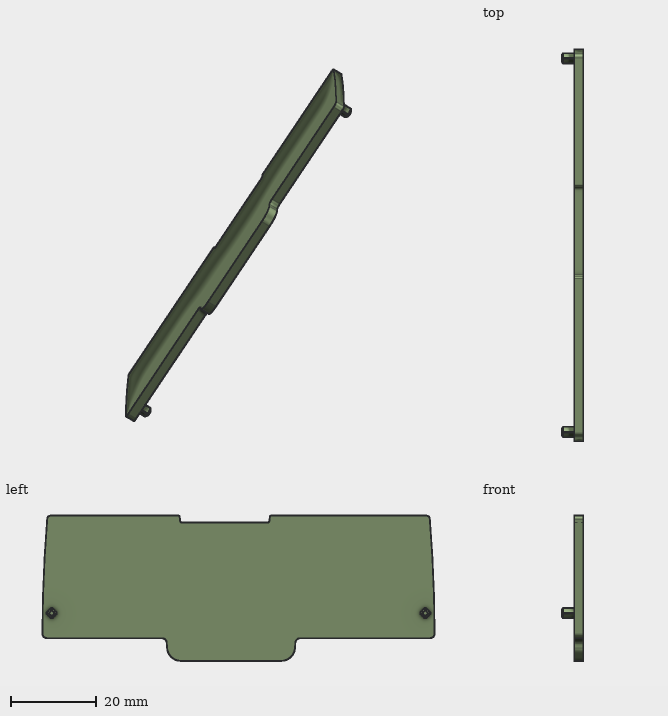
import cadquery as cq
import math

length = 91.75
height = 34.0
thickness = 2.2
half_length = length / 2

shoulder_z = 5.3
notch_depth = 1.65
top_inset = 1.2

tab_center_y = 1.7
tab_width = 30.3
tab_side_slope = 0.4
notch_center_y = 3.2
notch_width = 20.7
notch_side_slope = 0.2

top_corner_radius = 0.9
bottom_corner_radius = 1.1
tab_corner_radius = 3.3
tab_root_radius = 1.1
notch_corner_radius = 0.5

pin_spacing = 87.35
pin_z = 11.2
pin_length = 2.9
pin_side = 1.9
pin_corner_span = 2.5
pin_tip_chamfer = 0.5


def round_corners(body, corners, radius):
    """Fillet the plate's through-thickness edges at the given (y, z) corners."""
    for y, z in corners:
        nearest = cq.selectors.NearestToPointSelector((thickness / 2, y, z))
        body = body.edges("|X").edges(nearest).fillet(radius)
    return body


def make_plate():
    top_half = half_length - top_inset
    notch_z = height - notch_depth
    notch_half = notch_width / 2
    notch_top_half = notch_half + notch_side_slope
    tab_half = tab_width / 2
    tab_bottom_half = tab_half - tab_side_slope

    top_corners = [(-top_half, height), (top_half, height)]
    bottom_corners = [(half_length, shoulder_z), (-half_length, shoulder_z)]
    tab_roots = [(tab_center_y + tab_half, shoulder_z), (tab_center_y - tab_half, shoulder_z)]
    tab_corners = [(tab_center_y + tab_bottom_half, 0), (tab_center_y - tab_bottom_half, 0)]
    notch_corners = [
        (notch_center_y - notch_top_half, height),
        (notch_center_y + notch_top_half, height),
    ]
    notch_roots = [
        (notch_center_y - notch_half, notch_z),
        (notch_center_y + notch_half, notch_z),
    ]

    side_height = height - shoulder_z
    bow_radius = (side_height**2 + top_inset**2) / (2 * top_inset)
    bow_middle_z = shoulder_z + side_height / 2
    bow_middle_y = half_length - bow_radius + math.sqrt(bow_radius**2 - (side_height / 2) ** 2)

    plate = (
        cq.Workplane("YZ")
        .polyline([top_corners[0], notch_corners[0], *notch_roots, notch_corners[1], top_corners[1]])
        .threePointArc((bow_middle_y, bow_middle_z), bottom_corners[0])
        .lineTo(*tab_roots[0])
        .lineTo(*tab_corners[0])
        .lineTo(*tab_corners[1])
        .lineTo(*tab_roots[1])
        .lineTo(*bottom_corners[1])
        .threePointArc((-bow_middle_y, bow_middle_z), top_corners[0])
        .close()
        .extrude(thickness)
    )
    plate = round_corners(plate, top_corners, top_corner_radius)
    plate = round_corners(plate, bottom_corners, bottom_corner_radius)
    plate = round_corners(plate, tab_corners, tab_corner_radius)
    plate = round_corners(plate, tab_roots, tab_root_radius)
    return round_corners(plate, notch_corners + notch_roots, notch_corner_radius)


def make_pin(y):
    """Square pin on the -X face, turned 45 degrees, with flattened edges and a chamfered tip."""
    pin = (
        cq.Workplane("YZ")
        .rect(pin_side, pin_side)
        .extrude(-pin_length)
        .faces("<X")
        .chamfer(pin_tip_chamfer)
        .rotate((0, 0, 0), (1, 0, 0), 45)
    )
    trim = cq.Workplane("YZ").rect(pin_corner_span, pin_corner_span).extrude(-pin_length)
    return pin.intersect(trim).translate((0, y, pin_z))


result = make_plate()
for side in (-1, 1):
    result = result.union(make_pin(side * pin_spacing / 2))